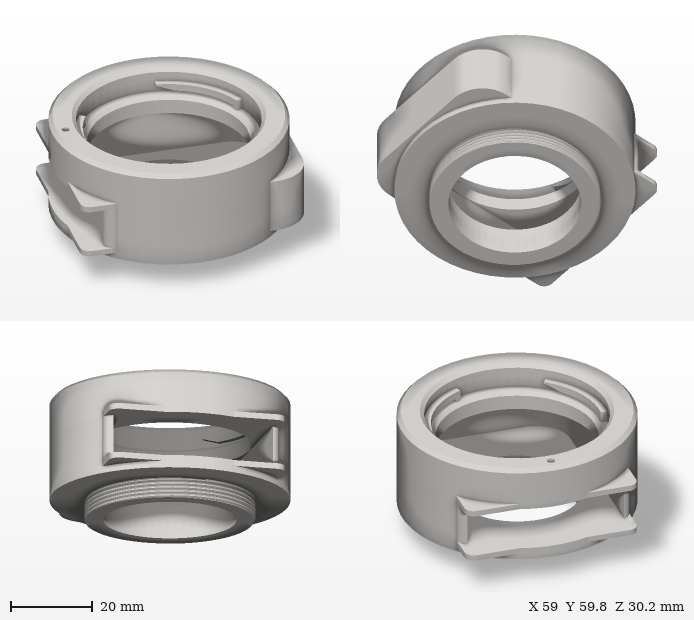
import cadquery as cq
import math

RING_DIAMETER = 59.0
RING_RADIUS = RING_DIAMETER / 2
OVERALL_DEPTH = 59.8
TOTAL_HEIGHT = 30.2
EDGE_CHAMFER = 1.0

THREAD_LENGTH = 5.0
BASE_TOP = 8.15
SLOT_HEIGHT = 11.0
SLOT_TOP = BASE_TOP + SLOT_HEIGHT
PLATE_THICKNESS = 1.45

PLATE_WIDTH = 44.3
PLATE_BACK = OVERALL_DEPTH - RING_RADIUS
PLATE_FRONT = -28.15
BACK_CORNER_RADIUS = 8.95
FRONT_CORNER_RADIUS = 2.5

SLOT_WALL = 2.0
SLOT_WIDTH = PLATE_WIDTH - 2 * SLOT_WALL
SLOT_BACK = PLATE_BACK - SLOT_WALL
WALL_FRONT = -22.3

THREAD_MAJOR_DIAMETER = 41.85
THREAD_MINOR_DIAMETER = 40.7
THREAD_PITCH = 1.0
THREAD_ROOT_WIDTH = 0.1
THREAD_MOUTH_WIDTH = 0.9
THREAD_OVERCUT = 0.05
THREAD_TURNS = 6
THREAD_START_ANGLE = -80.0
LIGHT_OPENING_DIAMETER = 32.6

SOCKET_DIAMETER = 45.5
LEDGE_DIAMETER = 41.85
THROAT_DIAMETER = 40.0
LEDGE_HEIGHT = 23.8
LEDGE_CHAMFER = (LEDGE_DIAMETER - THROAT_DIAMETER) / 2

LUG_SPANS = [(-4.2, 53.6), (112.6, 173.0), (239.1, 294.2)]
LUG_INNER_DIAMETER = 42.2
LUG_TOP = LEDGE_HEIGHT + 2.9
LUG_EMBED = 0.6
LUG_THICKNESS = 1.8
LUG_TIP_THICKNESS = 0.4
LUG_LEAD_ANGLE = 11.0
LUG_STOP_ANGLE = 3.5

PIN_HOLE_DIAMETER = 2.0
PIN_HOLE_Y = -26.25
PIN_HOLE_DEPTH = 1.0


def disc(diameter, bottom, top):
    """Round disc on the main axis between two heights."""
    return cq.Workplane("XY").workplane(offset=bottom).circle(diameter / 2).extrude(top - bottom)


def centred_block(width, front, back, bottom, top):
    """Square-cornered block centred on X between two Y positions and two heights."""
    block = cq.Workplane("XY").box(width, back - front, top - bottom, centered=(True, False, False))
    return block.translate((0, front, bottom))


def plate(front, bottom, top):
    """Plate with large back corners and small front corners."""
    block = centred_block(PLATE_WIDTH, front, PLATE_BACK, bottom, top)
    block = block.edges("|Z and >Y").fillet(BACK_CORNER_RADIUS)
    return block.edges("|Z and <Y").fillet(FRONT_CORNER_RADIUS)


def thread_groove():
    """Helical V-groove that enters below the collar and ends inside the flange."""
    minor_radius = THREAD_MINOR_DIAMETER / 2
    outer_radius = THREAD_MAJOR_DIAMETER / 2 + THREAD_OVERCUT
    root_half = THREAD_ROOT_WIDTH / 2
    outer_half = THREAD_MOUTH_WIDTH / 2
    profile = (
        cq.Workplane("XZ")
        .moveTo(minor_radius, -root_half)
        .lineTo(outer_radius, -outer_half)
        .lineTo(outer_radius, outer_half)
        .lineTo(minor_radius, root_half)
        .close()
    )
    helix = cq.Wire.makeHelix(THREAD_PITCH, THREAD_TURNS * THREAD_PITCH, minor_radius)
    groove = profile.sweep(cq.Workplane(obj=helix), isFrenet=True)
    return groove.rotate((0, 0, 0), (0, 0, 1), THREAD_START_ANGLE).translate((0, 0, -THREAD_PITCH))


def threaded_base():
    """Lower body: slot floor, flange and threaded collar around the light opening."""
    collar = disc(THREAD_MAJOR_DIAMETER, 0, BASE_TOP).cut(thread_groove())
    base = disc(RING_DIAMETER, THREAD_LENGTH, BASE_TOP)
    base = base.union(plate(PLATE_FRONT, BASE_TOP - PLATE_THICKNESS, BASE_TOP))
    base = base.union(collar)
    return base.cut(disc(LIGHT_OPENING_DIAMETER, 0, BASE_TOP))


def slot_housing():
    """Middle body: ring with the rounded filter slot that runs out through its front."""
    housing = disc(RING_DIAMETER, BASE_TOP, SLOT_TOP).union(plate(WALL_FRONT, BASE_TOP, SLOT_TOP))
    slot = centred_block(SLOT_WIDTH, -RING_DIAMETER, SLOT_BACK, BASE_TOP, SLOT_TOP)
    slot = slot.edges("|Z and >Y").fillet(BACK_CORNER_RADIUS)
    return housing.cut(slot)


def ring_sector(start_angle, end_angle, bottom, top):
    """Arc-shaped block on the socket wall, sunk a little into the ring."""
    inner_radius = LUG_INNER_DIAMETER / 2
    outer_radius = SOCKET_DIAMETER / 2 + LUG_EMBED
    section = (
        cq.Workplane("XZ")
        .moveTo(inner_radius, bottom)
        .lineTo(outer_radius, bottom)
        .lineTo(outer_radius, top)
        .lineTo(inner_radius, top)
        .close()
    )
    sector = section.revolve(end_angle - start_angle, (0, 0, 0), (0, 1, 0))
    return sector.rotate((0, 0, 0), (0, 0, 1), start_angle)


def lead_in_cutter(end_angle):
    """Wedge that thins the underside of a lug towards its tip."""
    run = SOCKET_DIAMETER / 2 * math.radians(LUG_LEAD_ANGLE)
    bottom = LUG_TOP - LUG_THICKNESS
    wedge = (
        cq.Workplane("YZ")
        .moveTo(-run, bottom)
        .lineTo(run, bottom)
        .lineTo(run, LUG_TOP - LUG_TIP_THICKNESS)
        .lineTo(0, LUG_TOP - LUG_TIP_THICKNESS)
        .close()
        .extrude(SOCKET_DIAMETER / 2)
    )
    return wedge.rotate((0, 0, 0), (0, 0, 1), end_angle)


def bayonet_lug(stop_angle, tip_angle):
    """Lug with a stop down to the ledge at one end and a lead-in ramp at the other."""
    lug = ring_sector(stop_angle, tip_angle, LUG_TOP - LUG_THICKNESS, LUG_TOP)
    lug = lug.cut(lead_in_cutter(tip_angle))
    stop = ring_sector(stop_angle, stop_angle + LUG_STOP_ANGLE, LEDGE_HEIGHT, LUG_TOP)
    return lug.union(stop)


def socket_bore():
    """Revolved opening of the mount: throat, bevelled ledge, socket and bevelled rim."""
    throat_radius = THROAT_DIAMETER / 2
    ledge_radius = LEDGE_DIAMETER / 2
    socket_radius = SOCKET_DIAMETER / 2
    section = (
        cq.Workplane("XZ")
        .moveTo(0, SLOT_TOP)
        .lineTo(throat_radius, SLOT_TOP)
        .lineTo(throat_radius, LEDGE_HEIGHT - LEDGE_CHAMFER)
        .lineTo(ledge_radius, LEDGE_HEIGHT)
        .lineTo(socket_radius, LEDGE_HEIGHT)
        .lineTo(socket_radius, TOTAL_HEIGHT - EDGE_CHAMFER)
        .lineTo(socket_radius + EDGE_CHAMFER, TOTAL_HEIGHT)
        .lineTo(0, TOTAL_HEIGHT)
        .close()
    )
    return section.revolve(360, (0, 0, 0), (0, 1, 0))


def lens_mount():
    """Upper body: slot roof and bayonet ring."""
    mount = disc(RING_DIAMETER, SLOT_TOP, TOTAL_HEIGHT).faces(">Z").edges().chamfer(EDGE_CHAMFER)
    mount = mount.union(plate(PLATE_FRONT, SLOT_TOP, SLOT_TOP + PLATE_THICKNESS))
    mount = mount.cut(socket_bore())
    for stop_angle, tip_angle in LUG_SPANS:
        mount = mount.union(bayonet_lug(stop_angle, tip_angle))
    pin_hole = disc(PIN_HOLE_DIAMETER, TOTAL_HEIGHT - PIN_HOLE_DEPTH, TOTAL_HEIGHT)
    return mount.cut(pin_hole.translate((0, PIN_HOLE_Y, 0)))


base = threaded_base()
housing = slot_housing()
mount = lens_mount()
result = cq.Compound.makeCompound([base.val(), housing.val(), mount.val()])